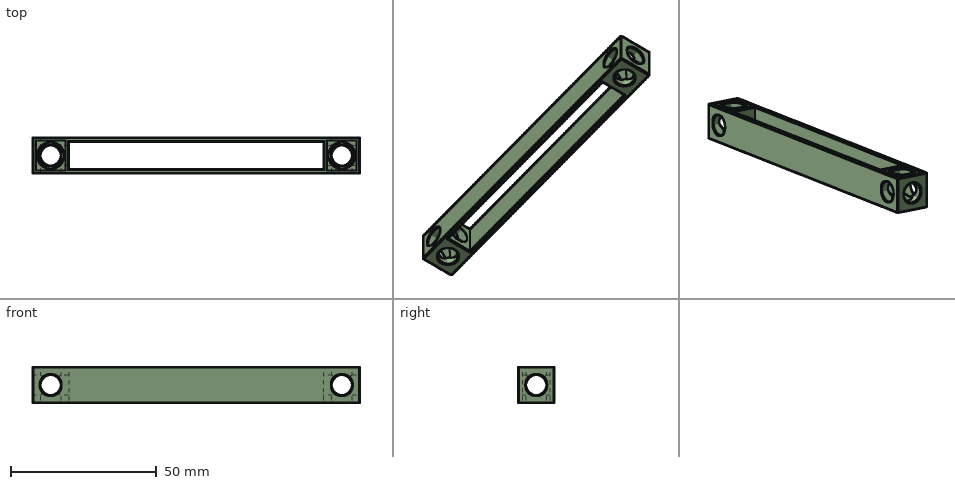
import cadquery as cq

length = 112.5
side = length / 9
edge_chamfer = 0.3

wall = 1.6
window_length = length - 2 * side
window_width = side - 2 * wall

rim = 1.1
recess_side = side - 2 * rim
recess_depth = 0.17
ring_diameter = 9.2

hole_diameter = 7.0

half_side = side / 2
end_centre = (length - side) / 2
end_positions = [(-end_centre, 0), (end_centre, 0)]


def chamfered_beam():
    return cq.Workplane("XY").box(length, side, side).edges().chamfer(edge_chamfer)


def window():
    """Opening through the height, flared at both mouths to chamfer its edges."""
    opening = cq.Workplane("XY").box(window_length, window_width, side)
    flare = (
        cq.Workplane("XY", origin=(0, 0, half_side - edge_chamfer))
        .rect(window_length, window_width)
        .workplane(offset=edge_chamfer)
        .rect(window_length + 2 * edge_chamfer, window_width + 2 * edge_chamfer)
        .loft()
    )
    return opening.union(flare).union(flare.mirror("XY"))


def ringed_recesses():
    """Square recesses that leave a ring standing around each vertical hole."""
    return (
        cq.Workplane("XY", origin=(0, 0, half_side))
        .pushPoints(end_positions)
        .rect(recess_side, recess_side)
        .extrude(-recess_depth)
        .cut(
            cq.Workplane("XY", origin=(0, 0, half_side))
            .pushPoints(end_positions)
            .circle(ring_diameter / 2)
            .extrude(-recess_depth)
        )
    )


def flared_hole(depth):
    """Vertical cutter centred on the origin, widened at both mouths by the chamfer."""
    radius = hole_diameter / 2
    mouth_radius = radius + edge_chamfer
    half_depth = depth / 2
    straight_end = half_depth - edge_chamfer
    profile = [
        (0, -half_depth),
        (mouth_radius, -half_depth),
        (radius, -straight_end),
        (radius, straight_end),
        (mouth_radius, half_depth),
        (0, half_depth),
    ]
    return cq.Workplane("XZ").polyline(profile).close().revolve(360, (0, 0), (0, 1))


result = chamfered_beam().cut(window()).cut(ringed_recesses())

for x, y in end_positions:
    vertical_hole = flared_hole(side)
    crosswise_hole = vertical_hole.rotate((0, 0, 0), (1, 0, 0), 90)
    result = result.cut(vertical_hole.translate((x, y, 0)))
    result = result.cut(crosswise_hole.translate((x, y, 0)))

lengthwise_hole = flared_hole(length).rotate((0, 0, 0), (0, 1, 0), 90)
result = result.cut(lengthwise_hole)